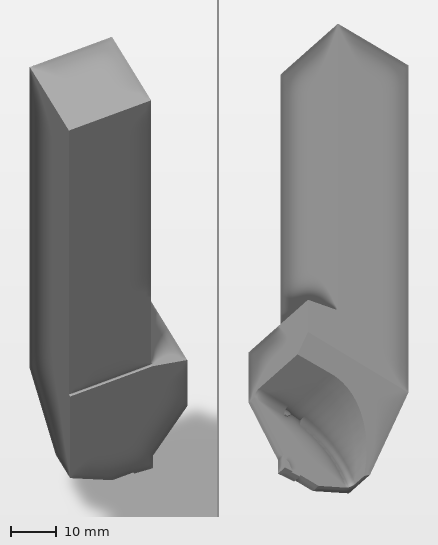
import cadquery as cq
import math

total_height = 126.4
head_thickness = 20.6
head_width = 28.4
shank_side = 20.0

head_top = 35.3
shoulder_angle = 15
shoulder_fillet = 0.8
head_left_bottom = 17.0
blade_bottom = 1.0
blade_bottom_left = 18.0
blade_bottom_right = 10.2
front_bottom = 7.1

slope_start = 22.4
slope_angle = 49
slope_tilt = 0.8

blade_thickness = 2.0
blade_face = head_thickness - blade_thickness
recess_top = 18.6
recess_radius = 19.1
recess_center_y = 19
recess_fillet = 1.5

insert_right = 15.5
insert_neck = 20.1
insert_wide = 21.2
wide_top = 14.8
wide_bottom = 6.1
insert_corner = insert_wide - insert_neck
tip_relief = 0.5
tip_height = 2.9
tip_width = 2.1
tip_raise = 0.4
pad_bottom = 16.9
pad_bottom_width = 0.8
pad_width = 1.8
pad_shoulder = 18.1

overshoot = 12.6


def make_outline():
    """Shank and head, with the stepped +X side."""
    shank = cq.Workplane("XY").workplane(offset=head_top).rect(shank_side, shank_side, centered=False)
    shank = shank.extrude(total_height - head_top)
    shoulder_drop = (head_width - shank_side) * math.tan(math.radians(shoulder_angle))
    head = (
        cq.Workplane("YZ")
        .moveTo(0, head_top)
        .lineTo(shank_side, head_top)
        .lineTo(head_width, head_top - shoulder_drop)
        .lineTo(head_width, head_left_bottom)
        .lineTo(blade_bottom_left, blade_bottom)
        .lineTo(blade_bottom_right, blade_bottom)
        .lineTo(0, front_bottom)
        .close()
        .extrude(head_thickness)
    )
    corner = cq.selectors.NearestToPointSelector((shank_side / 2, shank_side, head_top))
    return shank.union(head).edges(corner).fillet(shoulder_fillet)


def make_slope_cut():
    """Wedge below the sloped underside."""
    drop_per_x = math.tan(math.radians(slope_angle))
    low = -overshoot
    wedge = (
        cq.Workplane("XZ", origin=(0, -overshoot, 0))
        .moveTo(-overshoot, slope_start + overshoot * drop_per_x)
        .lineTo(blade_face, slope_start - blade_face * drop_per_x)
        .lineTo(blade_face, low)
        .lineTo(-overshoot, low)
        .close()
        .extrude(-(head_width + 2 * overshoot))
    )
    return wedge.rotate((0, 0, slope_start), (1, 0, slope_start), slope_tilt)


def make_recess_cut():
    """Recess beside the blade, with a straight and round wall and a filleted floor."""
    low = -overshoot
    center_z = recess_top - recess_radius
    reach = recess_radius * math.sqrt(0.5)
    recess = (
        cq.Workplane("YZ", origin=(-overshoot, 0, 0))
        .moveTo(head_width + overshoot, recess_top)
        .lineTo(recess_center_y, recess_top)
        .threePointArc(
            (recess_center_y - reach, center_z + reach),
            (recess_center_y - recess_radius, center_z),
        )
        .lineTo(recess_center_y - recess_radius, low)
        .lineTo(head_width + overshoot, low)
        .close()
        .extrude(blade_face + overshoot)
    )
    return recess.faces(">X").edges().fillet(recess_fillet)


def make_insert_plate(start_x):
    """Insert outline from start_x to the +X side; its top follows the recess wall."""
    recess_rise = math.sqrt(recess_radius**2 - (recess_center_y - insert_right) ** 2)
    right_top = recess_top - recess_radius + recess_rise
    middle_y = (recess_center_y + insert_right) / 2
    middle_rise = math.sqrt(recess_radius**2 - (recess_center_y - middle_y) ** 2)
    middle_top = recess_top - recess_radius + middle_rise
    return (
        cq.Workplane("YZ", origin=(start_x, 0, 0))
        .moveTo(insert_neck, 0)
        .lineTo(insert_neck, wide_bottom - insert_corner)
        .lineTo(insert_wide, wide_bottom)
        .lineTo(insert_wide, wide_top)
        .lineTo(insert_neck, wide_top + insert_corner / 2)
        .lineTo(insert_neck, recess_top)
        .lineTo(recess_center_y, recess_top)
        .threePointArc((middle_y, middle_top), (insert_right, right_top))
        .lineTo(insert_right, tip_relief)
        .close()
        .extrude(head_thickness - start_x)
    )


def make_insert():
    """Cutting insert, flush with the blade except for its raised tip and top pad."""
    plate = make_insert_plate(blade_face)
    relief_slope = tip_relief / (insert_neck - insert_right)
    tip = (
        cq.Workplane("YZ", origin=(blade_face - tip_raise, 0, 0))
        .moveTo(insert_neck, 0)
        .lineTo(insert_neck, tip_height)
        .lineTo(insert_neck - tip_width / 2, tip_height - tip_raise)
        .lineTo(insert_neck - tip_width, tip_width * relief_slope)
        .close()
        .extrude(tip_raise)
    )
    pad = (
        cq.Workplane("YZ", origin=(blade_face - tip_raise, 0, 0))
        .moveTo(insert_neck, recess_top)
        .lineTo(insert_neck, pad_bottom)
        .lineTo(insert_neck - pad_bottom_width, pad_bottom)
        .lineTo(insert_neck - pad_width, pad_shoulder)
        .lineTo(recess_center_y, recess_top)
        .close()
        .extrude(tip_raise)
    )
    return plate.union(tip).union(pad)


def make_holder():
    """Tool holder with a through seat for the insert in its blade."""
    holder = make_outline().cut(make_slope_cut()).cut(make_recess_cut())
    insert_seat = make_insert_plate(blade_face - recess_fillet)
    return holder.cut(insert_seat)


holder = make_holder()
insert = make_insert()

result = cq.Compound.makeCompound([holder.solids().val(), insert.solids().val()])